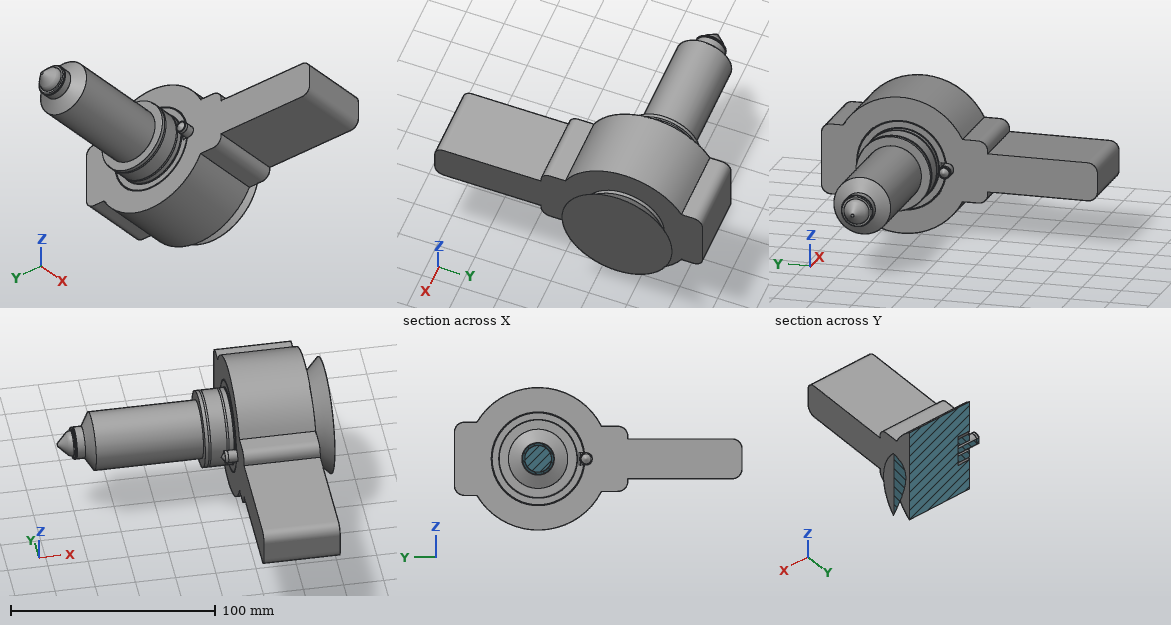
import cadquery as cq
import math


LEVER_THICKNESS = 37.9
HUB_DIA = 70.0
CORNER_RADIUS = 5.0
BLOCK_END = 41.0
BLOCK_WIDTH = 36.0
SHOULDER_END = 44.0
SHOULDER_WIDTH = 32.0
HANDLE_END = 100.0
HANDLE_WIDTH = 19.6

COUNTERBORE_DIA = 46.0
FLANGE_DIA = 45.0
FLANGE_THICKNESS = 7
NECK_DIA = 42.0
NECK_PROJECTION = 2.0
FLARE_LENGTH = 8.0
FLARE_DIA = 58.0

COLLAR_DIA = 38
COLLAR_FRONT = -15.0
COLLAR_CHAMFER_RADIAL = 0.5
COLLAR_CHAMFER_AXIAL = 0.1
FOOT_DIA = 38.6
FOOT_LENGTH = 0.5
SHAFT_DIA = 29.0
SHAFT_FRONT = -68.2
CONE_FRONT_DIA = 16.8
CONE_LENGTH = 3.8

RING_WIDTH = 1.0
RING_INNER_DIA = 36.0
RING_OFFSETS = (2.0, 11.0)

SLEEVE_DIA = 16.0
SLEEVE_FRONT = -78.0
SLEEVE_CHAMFER = 0.5
GROOVE_DIA = 15.7
GROOVE_OFFSET = 1.0
GROOVE_WIDTH = 0.5

NOSE_DIA = 12.8
NOSE_FRONT = -85.0
NOSE_FLAT_DIA = 1.5

PIN_DIA = 6.0
PIN_OFFSET = 23.5
PIN_JOINT = -4.5
CAP_FRONT = -6.0
POINT_FRONT = -7.8
POINT_DIA = 5.0
KEYWAY_FLOOR = 20.0

CONE_FRONT = SHAFT_FRONT - CONE_LENGTH
SPINDLE_FRONT = CONE_FRONT - (CONE_FRONT_DIA - SLEEVE_DIA) / 2


def cylinder(diameter, start, end, y=0):
    """Cylinder along X from start to end, with its axis at the given Y."""
    return cq.Workplane("YZ", origin=(start, y, 0)).circle(diameter / 2).extrude(end - start)


def turned(stations):
    """Solid of revolution about X through (X, diameter) stations, in order of X."""
    outline = [(x, diameter / 2) for x, diameter in stations]
    ends = [(stations[-1][0], 0), (stations[0][0], 0)]
    return cq.Workplane("XY").polyline(outline + ends).close().revolve(360, (0, 0, 0), (1, 0, 0))


def lever_bar(y_start, y_end, width):
    """Rectangular bar of the lever, running along Y through its full thickness."""
    length = abs(y_end - y_start)
    middle = (y_start + y_end) / 2
    return (
        cq.Workplane("YZ", origin=(0, middle, 0)).rect(length, width).extrude(LEVER_THICKNESS)
    )


def make_lever():
    block = lever_bar(0, BLOCK_END, BLOCK_WIDTH).edges("|X and >Y").fillet(CORNER_RADIUS)
    shoulder = lever_bar(0, -SHOULDER_END, SHOULDER_WIDTH).edges("|X and <Y").fillet(CORNER_RADIUS)
    handle = lever_bar(0, -HANDLE_END, HANDLE_WIDTH).edges("|X and <Y").fillet(CORNER_RADIUS)
    hub = cylinder(HUB_DIA, 0, LEVER_THICKNESS)
    lever = hub.union(block).union(shoulder).union(handle)

    counterbore = cylinder(COUNTERBORE_DIA, 0, FLANGE_THICKNESS)
    neck_bore = cylinder(NECK_DIA, 0, LEVER_THICKNESS)
    pin_hole = cylinder(PIN_DIA, 0, FLANGE_THICKNESS, -PIN_OFFSET)
    return lever.cut(counterbore).cut(neck_bore).cut(pin_hole)


def make_bush():
    flare_start = LEVER_THICKNESS + NECK_PROJECTION
    bush = turned([
        (0, FLANGE_DIA),
        (FLANGE_THICKNESS, FLANGE_DIA),
        (FLANGE_THICKNESS, NECK_DIA),
        (flare_start, NECK_DIA),
        (flare_start + FLARE_LENGTH, FLARE_DIA),
    ])
    keyway_depth = FLANGE_DIA / 2 - KEYWAY_FLOOR
    keyway = cq.Workplane("XY").box(
        FLANGE_THICKNESS, keyway_depth, PIN_DIA, centered=(False, False, True)
    ).translate((0, -FLANGE_DIA / 2, 0))
    return bush.cut(keyway)


def make_spindle():
    spindle = turned([
        (SPINDLE_FRONT, SLEEVE_DIA),
        (CONE_FRONT, CONE_FRONT_DIA),
        (SHAFT_FRONT, SHAFT_DIA),
        (COLLAR_FRONT, SHAFT_DIA),
        (COLLAR_FRONT, COLLAR_DIA - 2 * COLLAR_CHAMFER_RADIAL),
        (COLLAR_FRONT + COLLAR_CHAMFER_AXIAL, COLLAR_DIA),
        (-FOOT_LENGTH, COLLAR_DIA),
        (0, FOOT_DIA),
    ])
    for offset in RING_OFFSETS:
        spindle = spindle.cut(make_ring(offset))
    return spindle


def make_ring(offset):
    """Ring whose front face is the given distance behind the collar's front face."""
    start = COLLAR_FRONT + offset
    end = start + RING_WIDTH
    return cylinder(COLLAR_DIA, start, end).cut(cylinder(RING_INNER_DIA, start, end))


def make_sleeve():
    groove_start = SLEEVE_FRONT + GROOVE_OFFSET
    groove_end = groove_start + GROOVE_WIDTH
    sleeve = turned([
        (SLEEVE_FRONT, SLEEVE_DIA - 2 * SLEEVE_CHAMFER),
        (SLEEVE_FRONT + SLEEVE_CHAMFER, SLEEVE_DIA),
        (groove_start, SLEEVE_DIA),
        (groove_start, GROOVE_DIA),
        (groove_end, GROOVE_DIA),
        (groove_end, SLEEVE_DIA),
        (SPINDLE_FRONT, SLEEVE_DIA),
    ])
    return sleeve.cut(cylinder(NOSE_DIA, SLEEVE_FRONT, SPINDLE_FRONT))


def make_nose():
    """Rod with a 45 degree point that blends through a tangent arc into its side at the sleeve front."""
    tip_radius = NOSE_FLAT_DIA / 2
    rod_radius = NOSE_DIA / 2
    angle = math.radians(45)
    head_length = SLEEVE_FRONT - NOSE_FRONT
    round_radius = (head_length - rod_radius + tip_radius) / (math.sin(angle) + math.cos(angle) - 1)
    arc_centre_radius = rod_radius - round_radius

    def arc_point(turn):
        """Point of the arc at the given angle before its end on the rod."""
        return (
            SLEEVE_FRONT - round_radius * math.sin(turn),
            arc_centre_radius + round_radius * math.cos(turn),
        )

    return (
        cq.Workplane("XY")
        .moveTo(NOSE_FRONT, 0)
        .lineTo(NOSE_FRONT, tip_radius)
        .lineTo(*arc_point(angle))
        .threePointArc(arc_point(angle / 2), arc_point(0))
        .lineTo(SPINDLE_FRONT, rod_radius)
        .lineTo(SPINDLE_FRONT, 0)
        .close()
        .revolve(360, (0, 0, 0), (1, 0, 0))
    )


def make_pin_shank():
    return cylinder(PIN_DIA, PIN_JOINT, FLANGE_THICKNESS, -PIN_OFFSET)


def make_pin_cap():
    disc = cylinder(PIN_DIA, CAP_FRONT, PIN_JOINT, -PIN_OFFSET)
    point = cq.Workplane(
        cq.Solid.makeCone(
            POINT_DIA / 2,
            0,
            CAP_FRONT - POINT_FRONT,
            pnt=cq.Vector(CAP_FRONT, -PIN_OFFSET, 0),
            dir=cq.Vector(-1, 0, 0),
        )
    )
    return disc.union(point)


lever = make_lever()
bush = make_bush()
spindle = make_spindle()
rings = [make_ring(offset) for offset in RING_OFFSETS]
sleeve = make_sleeve()
nose = make_nose()
pin_shank = make_pin_shank()
pin_cap = make_pin_cap()

result = cq.Compound.makeCompound([
    lever.val(),
    bush.val(),
    spindle.val(),
    *[ring.val() for ring in rings],
    sleeve.val(),
    nose.val(),
    pin_shank.val(),
    pin_cap.val(),
])